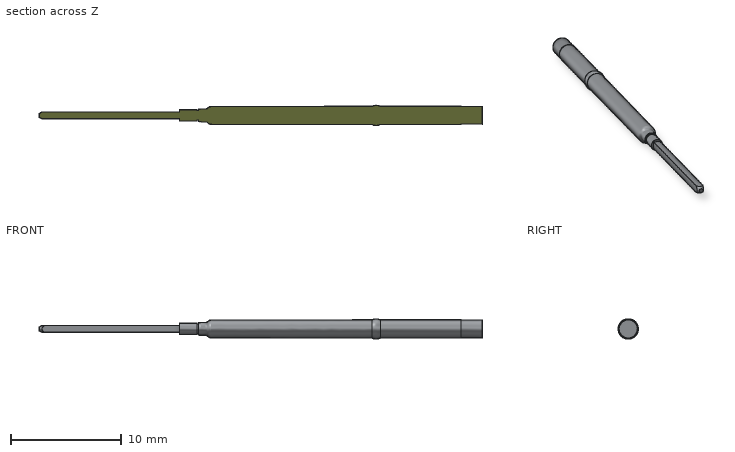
import cadquery as cq
import math

total_length = 40.13

post_side = 0.635
post_length = 12.7
tip_flat_dia = 0.36
tip_length = 0.48

collar_dia = 1.05
collar_end = 14.30
groove_end = 14.42
groove_dia = 0.90
neck_front_dia = 1.13
neck_dia = 1.19
neck_cone_end = 14.68

flare_start = 15.07
flare_end = 15.26
flare_dia = 1.34
nose_end = 15.60

barrel_front_dia = 1.64
barrel_dia = 1.68
bead_start = 30.15
bead_end = 30.89
bead_dia = 1.85

tail_dia = 1.64
tail_start = 38.20


def make_post():
    """Square post whose corners are turned down to a blunt cone at the tip."""
    square = cq.Workplane("YZ").rect(post_side, post_side).extrude(post_length)
    corner_radius = post_side / math.sqrt(2)
    turned_envelope = (
        cq.Workplane("XY")
        .lineTo(0, tip_flat_dia / 2)
        .lineTo(tip_length, corner_radius)
        .lineTo(post_length, corner_radius)
        .lineTo(post_length, 0)
        .close()
        .revolve(360, (0, 0, 0), (1, 0, 0))
    )
    return square.intersect(turned_envelope)


def make_turned_body():
    """Collar, groove, neck, nose, barrel, bead and tail as one revolved profile."""
    nose_run = nose_end - flare_end
    nose_rise = (barrel_front_dia - flare_dia) / 2
    nose_radius = (nose_run**2 + nose_rise**2) / (2 * nose_rise)
    bead_middle = (bead_start + bead_end) / 2
    return (
        cq.Workplane("XY")
        .moveTo(post_length, 0)
        .lineTo(post_length, collar_dia / 2)
        .lineTo(collar_end, collar_dia / 2)
        .lineTo(collar_end, groove_dia / 2)
        .lineTo(groove_end, groove_dia / 2)
        .lineTo(groove_end, neck_front_dia / 2)
        .lineTo(neck_cone_end, neck_dia / 2)
        .lineTo(flare_start, neck_dia / 2)
        .tangentArcPoint((flare_end, flare_dia / 2), relative=False)
        .radiusArc((nose_end, barrel_front_dia / 2), nose_radius)
        .lineTo(bead_start, barrel_dia / 2)
        .threePointArc((bead_middle, bead_dia / 2), (bead_end, barrel_dia / 2))
        .lineTo(tail_start, barrel_dia / 2)
        .lineTo(tail_start, tail_dia / 2)
        .lineTo(total_length, tail_dia / 2)
        .lineTo(total_length, 0)
        .close()
        .revolve(360, (0, 0, 0), (1, 0, 0))
    )


result = make_post().union(make_turned_body())